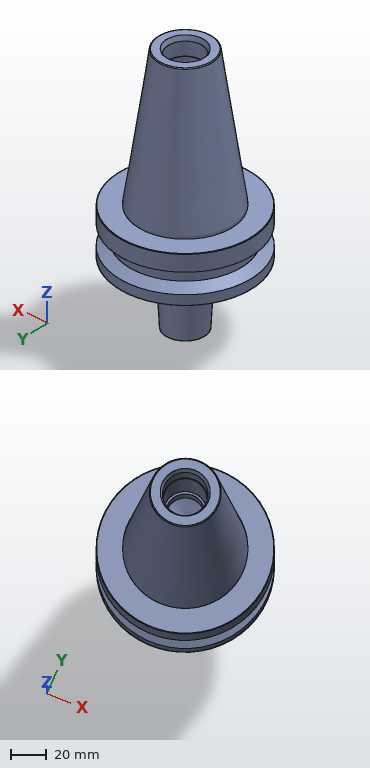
import cadquery as cq
import math


gauge_radius = 69.9 / 2
taper_length = 101.8
taper_slope = 7 / 48
shank_chamfer = 0.5
neck_top = -1.1

flange_radius = 100.0 / 2
flange_top = -3.0
flange_bottom = -38.0
flange_chamfer = 0.4
groove_radius = 85.2 / 2
upper_rim_height = 12.3
lower_rim_height = 7.5
groove_flank_height = 4.3

nose_end = taper_length - 186.8
nose_end_radius = 29.0 / 2
nose_half_angle = math.radians(3)
nose_fillet = 2.8

mouth_radius = 28.0 / 2
guide_radius = 25.4 / 2
guide_start_depth = 3.4
guide_end_depth = 13.5
thread_radius = 24.5 / 2
thread_depth = 37.4
drill_radius = 21.7 / 2
drill_depth = 44.8
drill_half_angle = math.radians(59)


def revolve(profile):
    """Turn a closed radius-height outline about the Z axis."""
    return profile.close().revolve(360, (0, 0), (0, 1))


def make_shank():
    end_radius = gauge_radius - taper_slope * taper_length
    neck_radius = gauge_radius - taper_slope * neck_top
    chamfer_base = taper_length - shank_chamfer
    return revolve(
        cq.Workplane("XZ")
        .moveTo(0, flange_top)
        .lineTo(neck_radius, flange_top)
        .lineTo(neck_radius, neck_top)
        .lineTo(end_radius + taper_slope * shank_chamfer, chamfer_base)
        .lineTo(end_radius - shank_chamfer, taper_length)
        .lineTo(0, taper_length)
    )


def make_flange():
    upper_rim_bottom = flange_top - upper_rim_height
    lower_rim_top = flange_bottom + lower_rim_height
    return revolve(
        cq.Workplane("XZ")
        .moveTo(0, flange_bottom)
        .lineTo(flange_radius - flange_chamfer, flange_bottom)
        .lineTo(flange_radius, flange_bottom + flange_chamfer)
        .lineTo(flange_radius, lower_rim_top)
        .lineTo(groove_radius, lower_rim_top + groove_flank_height)
        .lineTo(groove_radius, upper_rim_bottom - groove_flank_height)
        .lineTo(flange_radius, upper_rim_bottom)
        .lineTo(flange_radius, flange_top - flange_chamfer)
        .lineTo(flange_radius - flange_chamfer, flange_top)
        .lineTo(0, flange_top)
    )


def make_nose():
    fillet_base = flange_bottom - nose_fillet
    root_radius = nose_end_radius + (fillet_base - nose_end) * math.tan(nose_half_angle)
    fillet_mid_offset = nose_fillet * (1 - math.sqrt(0.5))
    return revolve(
        cq.Workplane("XZ")
        .moveTo(0, nose_end)
        .lineTo(nose_end_radius, nose_end)
        .lineTo(root_radius, fillet_base)
        .threePointArc(
            (root_radius + fillet_mid_offset, flange_bottom - fillet_mid_offset),
            (root_radius + nose_fillet, flange_bottom),
        )
        .lineTo(0, flange_bottom)
    )


def make_bore():
    guide_bottom = taper_length - guide_end_depth
    thread_bottom = taper_length - thread_depth
    drill_bottom = taper_length - drill_depth
    drill_tip = drill_bottom - drill_radius / math.tan(drill_half_angle)
    return revolve(
        cq.Workplane("XZ")
        .moveTo(0, taper_length)
        .lineTo(mouth_radius, taper_length)
        .lineTo(guide_radius, taper_length - guide_start_depth)
        .lineTo(guide_radius, guide_bottom)
        .lineTo(thread_radius, guide_bottom)
        .lineTo(thread_radius, thread_bottom)
        .lineTo(drill_radius, thread_bottom)
        .lineTo(drill_radius, drill_bottom)
        .lineTo(0, drill_tip)
    )


result = make_flange().union(make_shank()).union(make_nose()).cut(make_bore())